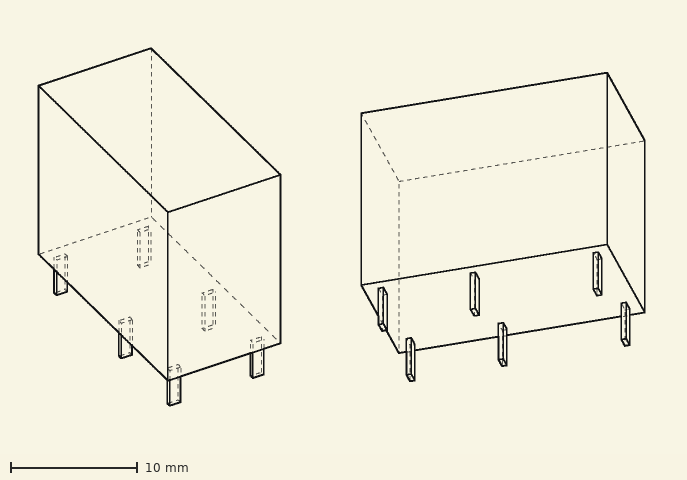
import cadquery as cq

body_length = 20.3
body_width = 10.3
body_height = 16.2

total_height = 19.6
pin_length = total_height - body_height
pin_thickness = 0.4
pin_width = 1.0
row_spacing = 7.61
first_pin_inset = 1.2
first_to_second_pitch = 10.13
second_to_third_pitch = 7.6

first_pin_x = -body_length / 2 + first_pin_inset
second_pin_x = first_pin_x + first_to_second_pitch
third_pin_x = second_pin_x + second_to_third_pitch
pin_columns = (first_pin_x, second_pin_x, third_pin_x)
pin_rows = (-row_spacing / 2, row_spacing / 2)


def make_body():
    return cq.Workplane("XY").rect(body_length, body_width).extrude(body_height)


def make_pins():
    positions = [(x, y) for x in pin_columns for y in pin_rows]
    return (
        cq.Workplane("XY")
        .pushPoints(positions)
        .rect(pin_thickness, pin_width)
        .extrude(-pin_length)
    )


result = make_body().union(make_pins())